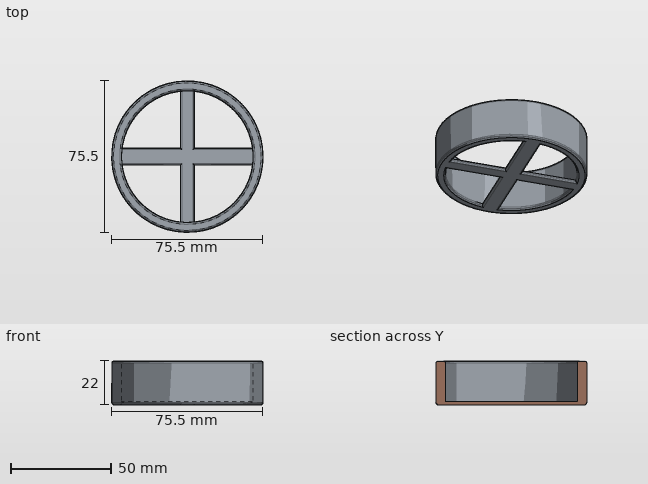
import cadquery as cq

outer_diameter = 75.5
inner_diameter = 65.5
height = 22.0
rim_fillet = 1.0

bottom_chamfer = 1.0
chamfer_blend_radius = 1.0

bar_x_width = 8.5
bar_y_width = 7.0
bar_thickness = 2.0
bar_fillet = 0.75

outer_radius = outer_diameter / 2
inner_radius = inner_diameter / 2


def make_ring():
    """Ring with rounded top rims and blended chamfers at the bottom."""
    ring = cq.Workplane("XY").circle(outer_radius).circle(inner_radius).extrude(height)
    ring = ring.faces(">Z").edges().fillet(rim_fillet)
    ring = ring.faces("<Z").edges().chamfer(bottom_chamfer)
    chamfer_top = cq.selectors.BoxSelector(
        (-outer_diameter, -outer_diameter, bottom_chamfer / 2),
        (outer_diameter, outer_diameter, bottom_chamfer * 3 / 2),
        boundingbox=True,
    )
    return ring.edges(chamfer_top).edges("%CIRCLE").fillet(chamfer_blend_radius)


def make_cross():
    """Two crossing bars with rounded long edges, trimmed to the bore."""
    bar_x = cq.Workplane("XY").rect(outer_diameter, bar_x_width).extrude(bar_thickness)
    bar_y = cq.Workplane("XY").rect(bar_y_width, outer_diameter).extrude(bar_thickness)
    bar_x = bar_x.edges("|X").fillet(bar_fillet)
    bar_y = bar_y.edges("|Y").fillet(bar_fillet)
    trim_radius = (inner_radius + outer_radius) / 2
    trim = cq.Workplane("XY").circle(trim_radius).extrude(bar_thickness)
    return bar_x.union(bar_y).intersect(trim)


result = make_ring().union(make_cross())